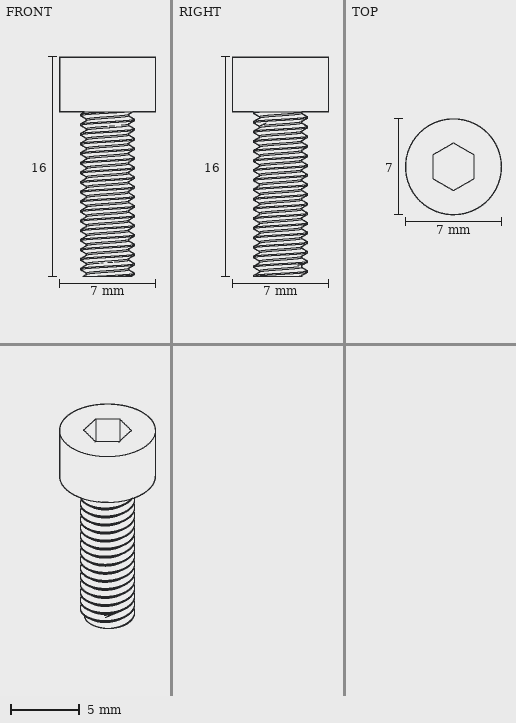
import cadquery as cq
import math

total_length = 16.0
head_diameter = 7.0
head_height = 4.0
shank_length = total_length - head_height

socket_across_flats = 3.0
socket_depth = 2.4
socket_across_corners = socket_across_flats / math.cos(math.radians(30))

core_diameter = 3.1
crest_diameter = 3.97
turns_in_shank = 17.1
pitch = shank_length / turns_in_shank
crest_width = pitch / 8
flank_angle = 30.0
first_crest_height = 0.2
root_overlap = 0.05


def make_head():
    head = cq.Workplane("XY").workplane(offset=shank_length).circle(head_diameter / 2).extrude(head_height)
    socket = (
        cq.Workplane("XY")
        .workplane(offset=total_length - socket_depth)
        .polygon(6, socket_across_corners)
        .extrude(socket_depth)
        .rotate((0, 0, 0), (0, 0, 1), 90)
    )
    return head.cut(socket)


def make_thread_ridge():
    """Helical ridge that runs past both ends of the shank and is trimmed flush."""
    root_radius = core_diameter / 2 - root_overlap
    crest_radius = crest_diameter / 2
    start = first_crest_height - 2 * pitch
    turns = math.ceil((shank_length - start) / pitch) + 1
    half_crest = crest_width / 2
    half_root = half_crest + (crest_radius - root_radius) * math.tan(math.radians(flank_angle))

    helix = cq.Wire.makeHelix(pitch, turns * pitch, root_radius, center=cq.Vector(0, 0, start))
    profile = cq.Workplane("XZ").polyline(
        [
            (root_radius, start - half_root),
            (crest_radius, start - half_crest),
            (crest_radius, start + half_crest),
            (root_radius, start + half_root),
        ]
    ).close()
    ridge = profile.sweep(cq.Workplane(obj=helix), isFrenet=True)
    shank_envelope = cq.Workplane("XY").circle(head_diameter / 2).extrude(shank_length)
    return ridge.intersect(shank_envelope)


core = cq.Workplane("XY").circle(core_diameter / 2).extrude(shank_length)
result = core.union(make_thread_ridge()).union(make_head())